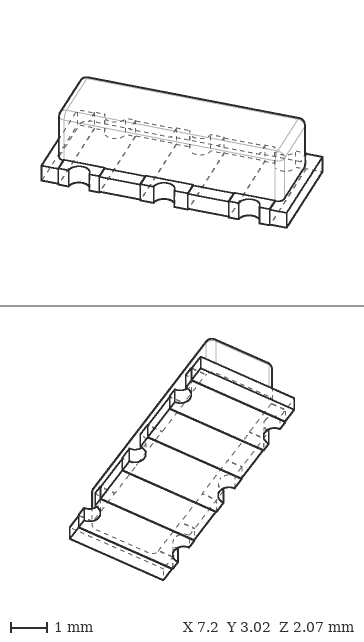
import cadquery as cq

board_length = 7.2
board_width = 3.0
board_thickness = 0.5

plating = 0.02
plating_side = 0.01
notch_radius = 0.3
notch_pitch = 2.5
end_pad_inset = 0.5
end_pad_length = 1.2
middle_pad_length = 1.4
overall_width = board_width + 2 * plating_side

overall_height = 2.07
cover_length = 6.6
cover_width = 2.1
cover_fillet = 0.2
cover_top = overall_height - plating
cover_height = cover_top - board_thickness

end_pad_x = board_length / 2 - end_pad_inset - end_pad_length / 2
pads = [
    (-end_pad_x, end_pad_length),
    (0, middle_pad_length),
    (end_pad_x, end_pad_length),
]


def make_board():
    return cq.Workplane("XY").box(
        board_length, board_width, board_thickness, centered=(True, True, False)
    )


def make_pad(center_x, length):
    """Plating strip running across the board and wrapping both long edges."""
    return (
        cq.Workplane("XY", origin=(center_x, 0, -plating))
        .box(length, overall_width, board_thickness + 2 * plating, centered=(True, True, False))
    )


def make_notches():
    """Half-round castellations through both long edges."""
    centers = [
        (column * notch_pitch, side * overall_width / 2)
        for column in (-1, 0, 1)
        for side in (-1, 1)
    ]
    return (
        cq.Workplane("XY", origin=(0, 0, -plating))
        .pushPoints(centers)
        .circle(notch_radius)
        .extrude(board_thickness + 2 * plating)
    )


def make_cover():
    return (
        cq.Workplane("XY", origin=(0, 0, board_thickness))
        .box(cover_length, cover_width, cover_height, centered=(True, True, False))
        .edges("|Z or >Z")
        .fillet(cover_fillet)
    )


result = make_board()
for pad_x, pad_length in pads:
    result = result.union(make_pad(pad_x, pad_length))
result = result.cut(make_notches()).union(make_cover())